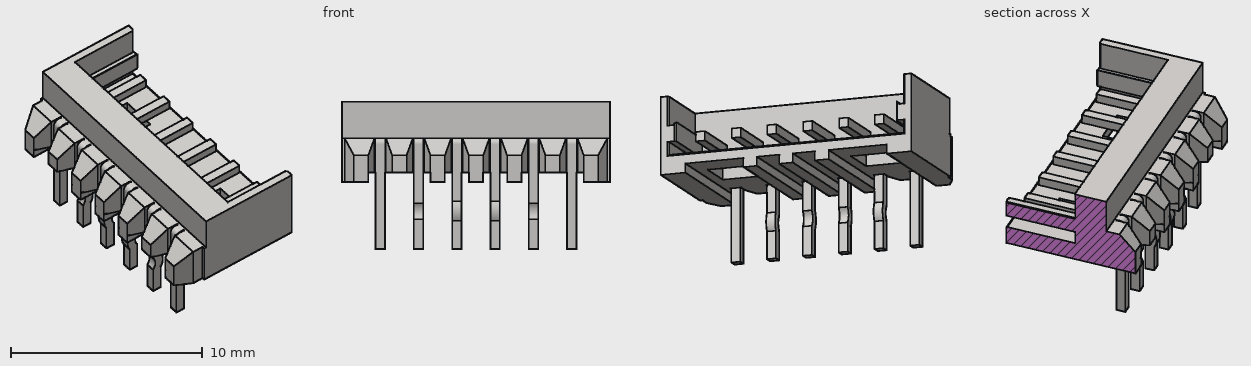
import cadquery as cq


WIDTH = 14.0
PIN_COUNT = 6
TOOTH_COUNT = PIN_COUNT + 1
PITCH = WIDTH / TOOTH_COUNT

HEIGHT = 4.2
WALL_FRONT = -5.65
WALL_BACK = -3.88
BASE_FRONT = -5.78
LEDGE_TOP = 2.3
SIDE_WALL = 0.45
FLOOR_TOP = 1.06
LEAD_IN = 0.08

RIB_BOTTOM = 1.75
RIB_TOP = 2.62
RIB_FLAT = 0.24
RIB_WIDTH = 0.4
HOOK_RISE = 0.17

TOOTH_WIDTH = 1.4
TOOTH_FACE = 0.75
TOOTH_SHOULDER = -6.4
TOOTH_FRONT = -7.3
TOOTH_FACE_TOP = 1.4
END_INSET = 0.14

CHANNEL_HEIGHT = 0.49
FULL_TEETH = (0, 2, 3, 4, 6)
WINDOW_BACK = -1.64
WINDOW_TEETH = (1, 5)

PIN = 0.5
PIN_BACK = -0.57
PIN_FRONT = -6.26
PIN_BOTTOM = -3.5
BEND_RADIUS = 0.31
KINK_Z = -1.51
KINK_DEPTH = 0.14
KINK_OUTER = 0.5
KINK_INNER = 0.42
KINKS = (0, -1, 1, 1, -1, 0)


def box(x0, x1, y0, y1, z0, z1):
    """Block between two opposite corners."""
    return cq.Workplane("XY").box(x1 - x0, y1 - y0, z1 - z0, centered=False).translate((x0, y0, z0))


def tooth_x(index):
    return (index - (TOOTH_COUNT - 1) / 2) * PITCH


def pin_x(index):
    return (index - (PIN_COUNT - 1) / 2) * PITCH


def cavity():
    """Space above the floor, with a hooked rib left standing on each side."""
    wall = WIDTH / 2 - SIDE_WALL
    rib = wall - RIB_WIDTH
    right = [
        (wall, FLOOR_TOP),
        (wall, RIB_BOTTOM),
        (rib, RIB_BOTTOM),
        (rib, RIB_TOP + HOOK_RISE),
        (wall - RIB_FLAT, RIB_TOP),
        (wall, RIB_TOP),
        (wall, HEIGHT),
    ]
    left = [(-x, z) for x, z in reversed(right)]
    return cq.Workplane("XZ").polyline(right + left).close().extrude(-WALL_BACK)


def housing():
    half = WIDTH / 2
    body = box(-half, half, WALL_FRONT, 0, 0, HEIGHT)
    body = body.union(box(-half, half, BASE_FRONT, WALL_FRONT, 0, LEDGE_TOP))
    body = body.cut(cavity())
    middle = half - SIDE_WALL / 2
    inside = cq.selectors.BoxSelector((-middle, -LEAD_IN, FLOOR_TOP), (middle, LEAD_IN, HEIGHT))
    floor_edge = cq.selectors.NearestToPointSelector((0, 0, FLOOR_TOP))
    rim = body.edges("|Z").edges(inside).add(body.edges("|X").edges(floor_edge))
    return rim.chamfer(LEAD_IN)


def tooth(index):
    """Tooth that narrows to its front face, with its top sloping down to the front."""
    x = tooth_x(index)
    left = x - TOOTH_WIDTH / 2
    right = x + TOOTH_WIDTH / 2
    if index == 0:
        left = END_INSET - WIDTH / 2
    if index == TOOTH_COUNT - 1:
        right = WIDTH / 2 - END_INSET
    plan = [
        (left, WALL_FRONT),
        (left, TOOTH_SHOULDER),
        (x - TOOTH_FACE / 2, TOOTH_FRONT),
        (x + TOOTH_FACE / 2, TOOTH_FRONT),
        (right, TOOTH_SHOULDER),
        (right, WALL_FRONT),
    ]
    side = [
        (WALL_FRONT, 0),
        (WALL_FRONT, LEDGE_TOP),
        (TOOTH_SHOULDER, LEDGE_TOP),
        (TOOTH_FRONT, TOOTH_FACE_TOP),
        (TOOTH_FRONT, 0),
    ]
    column = cq.Workplane("XY").polyline(plan).close().extrude(LEDGE_TOP)
    profile = cq.Workplane("YZ").polyline(side).close().extrude(WIDTH / 2, both=True)
    return column.intersect(profile)


def channels():
    """Grooves along the underside, between the feet of the full-height teeth."""
    cuts = cq.Workplane("XY")
    for first, second in zip(FULL_TEETH, FULL_TEETH[1:]):
        left = tooth_x(first) + TOOTH_FACE / 2
        right = tooth_x(second) - TOOTH_FACE / 2
        cuts = cuts.add(box(left, right, TOOTH_FRONT, 0, 0, CHANNEL_HEIGHT))
    return cuts.combine()


def window(index):
    """Opening through the floor, from one pin's centreline to the next."""
    x = tooth_x(index)
    return box(x - PITCH / 2, x + PITCH / 2, WALL_BACK, WINDOW_BACK, 0, FLOOR_TOP)


def pin(index):
    """Square contact bent down at the front, with an optional kink in its tail."""
    kink = KINKS[index]
    tail_back = PIN_FRONT + PIN
    shift = -kink * KINK_DEPTH
    front_half = KINK_OUTER if kink > 0 else KINK_INNER
    back_half = KINK_INNER if kink > 0 else KINK_OUTER
    diagonal = BEND_RADIUS * (1 - 0.5 ** 0.5)

    outline = (
        cq.Workplane("YZ")
        .moveTo(PIN_BACK, LEDGE_TOP)
        .lineTo(PIN_FRONT + BEND_RADIUS, LEDGE_TOP)
        .threePointArc((PIN_FRONT + diagonal, LEDGE_TOP - diagonal), (PIN_FRONT, LEDGE_TOP - BEND_RADIUS))
    )
    if kink:
        outline = outline.lineTo(PIN_FRONT, KINK_Z + front_half).threePointArc(
            (PIN_FRONT + shift, KINK_Z), (PIN_FRONT, KINK_Z - front_half)
        )
    outline = outline.lineTo(PIN_FRONT, PIN_BOTTOM).lineTo(tail_back, PIN_BOTTOM)
    if kink:
        outline = outline.lineTo(tail_back, KINK_Z - back_half).threePointArc(
            (tail_back + shift, KINK_Z), (tail_back, KINK_Z + back_half)
        )
    outline = outline.lineTo(tail_back, LEDGE_TOP - PIN).lineTo(PIN_BACK, LEDGE_TOP - PIN).close()
    return outline.extrude(PIN / 2, both=True).translate((pin_x(index), 0, 0))


result = housing()
for number in range(TOOTH_COUNT):
    result = result.union(tooth(number))
result = result.cut(channels())
for number in WINDOW_TEETH:
    result = result.cut(window(number))
for number in range(PIN_COUNT):
    result = result.union(pin(number))